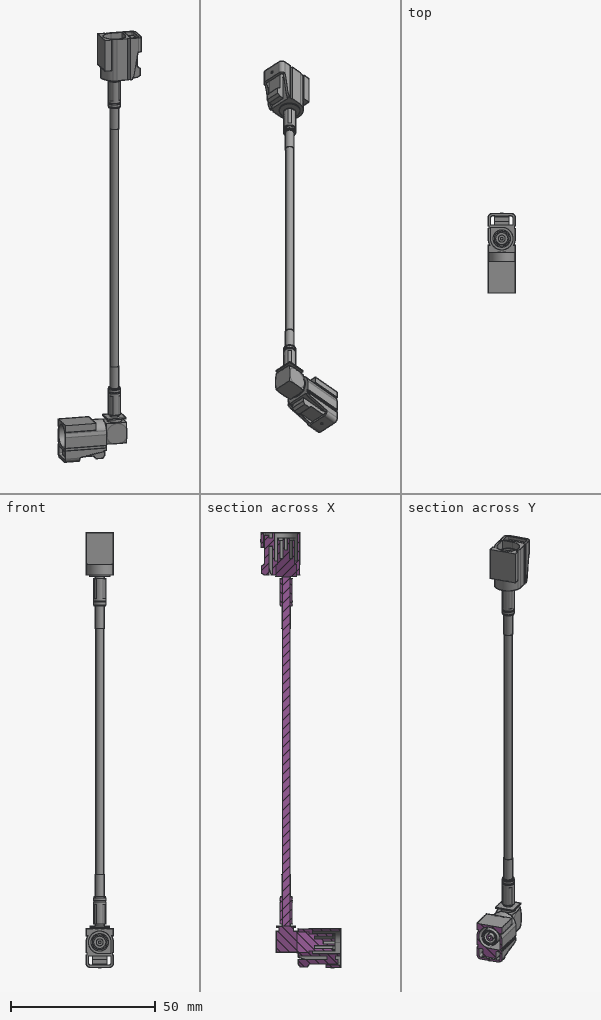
import cadquery as cq
import math

OVERALL_HEIGHT = 150.4
OVERALL_DEPTH = 27.7
HOOD_TOP = 8.7
HOOD_NUB_HEIGHT = 0.08
MATING_REACH = OVERALL_DEPTH - HOOD_TOP - HOOD_NUB_HEIGHT
MATING_LEVEL = OVERALL_HEIGHT - HOOD_TOP - HOOD_NUB_HEIGHT

HOUSING_WIDTH = 9.5
HALF_WIDTH = HOUSING_WIDTH / 2
HOUSING_LENGTH = 14.7
KEY_PLATE_LENGTH = 11.0
KEY_PLATE_TOP = -2.3
FLANK_TOP = -0.5
FLANK_BOTTOM = -1.8
CAVITY_RADIUS = 3.9
CAVITY_DEPTH = 9.8
CAVITY_FLOOR_THICKNESS = 1.2
FLANGE_FACE = -CAVITY_DEPTH - CAVITY_FLOOR_THICKNESS
GROOVE_BOTTOM = 3.5
GROOVE_WIDTH = 0.9
GROOVE_DEPTH = 0.3

WALL = 0.9
HOOD_LENGTH = 5.1
HOOD_CORNER_RADIUS = 1.5
HOOD_NUB_RADIUS = 0.5
HOOD_NUB_DEPTH = 2.9
WING_TOP = HOOD_TOP - HOOD_CORNER_RADIUS
WING_MIDDLE_HEIGHT = 6.6
WING_MIDDLE_DEPTH = 7.8
WING_REAR_HEIGHT = 5.7
WING_REAR_DEPTH = 13.2
WING_END_HEIGHT = 5.1
LATCH_WIDTH = 5.1
LATCH_TOP = 7.5
LATCH_HEAD_TOP = 8.5
LATCH_THICKNESS = 1.7
LATCH_START = 0.9
LATCH_ROOT_START = 1.8
LATCH_ROOT_LENGTH = 3.0
LATCH_HEAD_START = 10.8
LATCH_HEAD_CHAMFER = 0.8

FLANGE_RADIUS = 3.6
TUBE_RADIUS = 3.0
TUBE_ENTRY_RADIUS = 2.5
TUBE_ENTRY_DEPTH = 0.8
TUBE_BORE_RADIUS = 2.1
PIN_RADIUS = 1.2
PIN_HOLE_RADIUS = 0.5
TIP_DEPTH = 2.0
PIN_HOLE_FLOOR = 6.0
TUBE_BORE_FLOOR = 9.0
STRAIGHT_FLANGE_STANDOFF = 0.5

ELBOW_HALF = 3.5
ELBOW_FRONT = 3.8
ELBOW_TOP = 3.9
ELBOW_FACE_RADIUS = 3.8
ELBOW_TURNED_DEPTH = 0.5
ELBOW_CORNER_RADIUS = 5.5
ELBOW_NECK_RADIUS = 2.5
PLATE_BOTTOM = 5.1
PLATE_TOP = 5.5
PLATE_HALF = 3.3

CABLE_RADIUS = 1.43
SLEEVE_RADIUS = 3.2 / 2
SLEEVE_LENGTH = 7.7
FERRULE_NECK_LENGTH = 0.8
FERRULE_CRIMP_LENGTH = 6.8
FERRULE_CRIMP_RADIUS = 4.4 / 2
FERRULE_FLAT_DISTANCE = 2.1
FERRULE_RING_RADIUS = FERRULE_CRIMP_RADIUS
FERRULE_RING_GROOVE_RADIUS = 4.0 / 2
FERRULE_RING_LENGTH = 0.9
FERRULE_GROOVE_LENGTH = 0.5
FERRULE_RING_COUNT = 2
FERRULE_COLLAR_LENGTH = FERRULE_RING_COUNT * (FERRULE_RING_LENGTH + FERRULE_GROOVE_LENGTH)
FERRULE_LENGTH = FERRULE_NECK_LENGTH + FERRULE_CRIMP_LENGTH + FERRULE_COLLAR_LENGTH


def cylinder(radius, bottom, top):
    return cq.Workplane("XY").workplane(offset=bottom).circle(radius).extrude(top - bottom)


def block(width, y_low, y_high, z_low, z_high):
    """Box centred on X = 0 between the given Y and Z limits."""
    return (
        cq.Workplane("XY")
        .box(width, y_high - y_low, z_high - z_low, centered=(True, False, False))
        .translate((0, y_low, z_low))
    )


def housing_shell():
    """Barrel with a square top half, plus the key plate under its front part."""
    round_half_width = math.sqrt(HALF_WIDTH**2 - FLANK_BOTTOM**2)
    barrel = (
        cq.Workplane("XY")
        .moveTo(-HALF_WIDTH, HALF_WIDTH)
        .lineTo(-HALF_WIDTH, FLANK_TOP)
        .lineTo(-round_half_width, FLANK_BOTTOM)
        .threePointArc((0, -HALF_WIDTH), (round_half_width, FLANK_BOTTOM))
        .lineTo(HALF_WIDTH, FLANK_TOP)
        .lineTo(HALF_WIDTH, HALF_WIDTH)
        .close()
        .extrude(-HOUSING_LENGTH)
    )
    key_plate = block(HOUSING_WIDTH, -HALF_WIDTH, KEY_PLATE_TOP, -KEY_PLATE_LENGTH, 0)
    return barrel.union(key_plate)


def wings_and_hood():
    """Side wings along the housing, joined over the mating end by the hood."""
    arch = block(HOUSING_WIDTH, 0, HOOD_TOP, -HOUSING_LENGTH, 0)
    arch = arch.edges("|Z and >Y").fillet(HOOD_CORNER_RADIUS)
    side = (
        cq.Workplane("YZ")
        .moveTo(0, 0)
        .lineTo(HOOD_TOP, 0)
        .lineTo(HOOD_TOP, -HOOD_LENGTH)
        .lineTo(WING_TOP, -HOOD_LENGTH)
        .lineTo(WING_MIDDLE_HEIGHT, -WING_MIDDLE_DEPTH)
        .lineTo(WING_REAR_HEIGHT, -WING_REAR_DEPTH)
        .lineTo(WING_END_HEIGHT, -HOUSING_LENGTH)
        .lineTo(0, -HOUSING_LENGTH)
        .close()
        .extrude(HALF_WIDTH, both=True)
    )
    inside = block(HOUSING_WIDTH - 2 * WALL, 0, HOOD_TOP - WALL, -HOUSING_LENGTH, 0)
    inside = inside.edges("|Z and >Y").fillet(HOOD_CORNER_RADIUS - WALL)
    nub = (
        cq.Workplane("XZ")
        .center(0, -HOOD_NUB_DEPTH)
        .circle(HOOD_NUB_RADIUS)
        .extrude(-(WALL + HOOD_NUB_HEIGHT))
        .translate((0, HOOD_TOP - WALL, 0))
    )
    return arch.intersect(side).cut(inside).union(nub)


def latch():
    """Lever rooted on the housing near the mating end, with a raised head at its free end."""
    underside = LATCH_TOP - LATCH_THICKNESS
    lever = (
        cq.Workplane("YZ")
        .moveTo(underside, -LATCH_START)
        .lineTo(LATCH_TOP, -LATCH_START)
        .lineTo(LATCH_TOP, -LATCH_HEAD_START)
        .lineTo(LATCH_HEAD_TOP, -LATCH_HEAD_START - LATCH_HEAD_CHAMFER)
        .lineTo(LATCH_HEAD_TOP, -HOUSING_LENGTH + LATCH_HEAD_CHAMFER)
        .lineTo(LATCH_TOP, -HOUSING_LENGTH)
        .lineTo(underside, -HOUSING_LENGTH)
        .close()
        .extrude(LATCH_WIDTH / 2, both=True)
    )
    root_end = LATCH_ROOT_START + LATCH_ROOT_LENGTH
    root = block(LATCH_WIDTH, CAVITY_RADIUS, underside, -root_end, -LATCH_ROOT_START)
    return lever.union(root)


def housing_cavity():
    """Round mating cavity with one square key corner, and the stepped bore for the contact behind it."""
    cavity = cylinder(CAVITY_RADIUS, -CAVITY_DEPTH, 0)
    key_corner = (
        cq.Workplane("XY")
        .rect(-CAVITY_RADIUS, CAVITY_RADIUS, centered=False)
        .extrude(-CAVITY_DEPTH)
    )
    tube_bore = cylinder(TUBE_RADIUS, FLANGE_FACE, -CAVITY_DEPTH)
    flange_bore = cylinder(FLANGE_RADIUS, -HOUSING_LENGTH, FLANGE_FACE)
    return cavity.union(key_corner).union(tube_bore).union(flange_bore)


def side_grooves():
    """Shallow grooves along both sides, cut by a full-width slab with its middle removed."""
    slab = block(HOUSING_WIDTH, GROOVE_BOTTOM, GROOVE_BOTTOM + GROOVE_WIDTH, -HOUSING_LENGTH, 0)
    core = block(HOUSING_WIDTH - 2 * GROOVE_DEPTH, 0, HOOD_TOP, -HOUSING_LENGTH, 0)
    return slab.cut(core)


def make_housing():
    shell = housing_shell().union(wings_and_hood()).union(latch())
    return shell.cut(side_grooves()).cut(housing_cavity())


def make_contact(standoff):
    """Tube around a hollow pin, on a flange that stands out of the back of the housing."""
    flange = cylinder(FLANGE_RADIUS, -HOUSING_LENGTH - standoff, FLANGE_FACE)
    tube = cylinder(TUBE_RADIUS, FLANGE_FACE, -TIP_DEPTH)
    bore = cylinder(TUBE_BORE_RADIUS, -TUBE_BORE_FLOOR, -TIP_DEPTH)
    entry = cylinder(TUBE_ENTRY_RADIUS, -TIP_DEPTH - TUBE_ENTRY_DEPTH, -TIP_DEPTH)
    pin = cylinder(PIN_RADIUS, -TUBE_BORE_FLOOR, -TIP_DEPTH)
    pin_hole = cylinder(PIN_HOLE_RADIUS, -PIN_HOLE_FLOOR, -TIP_DEPTH)
    return flange.union(tube).cut(bore).cut(entry).union(pin).cut(pin_hole)


def place_straight(body):
    return body.translate((0, 0, MATING_LEVEL))


def place_angled(body):
    """Turn the mating side to -Y and the hood to -Z."""
    turned = body.rotate((0, 0, 0), (0, 0, 1), 180).rotate((0, 0, 0), (1, 0, 0), 90)
    return turned.translate((0, -MATING_REACH, 0))


def make_elbow():
    body = block(2 * ELBOW_HALF, -ELBOW_FRONT, ELBOW_HALF, -ELBOW_HALF, ELBOW_TOP)
    turned = (
        cq.Workplane("YZ")
        .circle(ELBOW_CORNER_RADIUS)
        .extrude(ELBOW_HALF, both=True)
        .faces("<X or >X")
        .chamfer(ELBOW_TURNED_DEPTH, ELBOW_CORNER_RADIUS - ELBOW_FACE_RADIUS)
    )
    body = body.intersect(turned)
    neck = cylinder(ELBOW_NECK_RADIUS, 0, PLATE_BOTTOM)
    plate = block(2 * PLATE_HALF, -PLATE_HALF, PLATE_HALF, PLATE_BOTTOM, PLATE_TOP)
    return body.union(neck).union(plate)


def make_ferrule():
    """Ferrule standing on z = 0: round neck, crimp with four flats, then a collar of rings."""
    crimp_top = FERRULE_NECK_LENGTH + FERRULE_CRIMP_LENGTH
    ferrule = cylinder(SLEEVE_RADIUS, 0, FERRULE_NECK_LENGTH)
    square = block(2 * FERRULE_FLAT_DISTANCE, -FERRULE_FLAT_DISTANCE, FERRULE_FLAT_DISTANCE,
                   FERRULE_NECK_LENGTH, crimp_top)
    crimp = cylinder(FERRULE_CRIMP_RADIUS, FERRULE_NECK_LENGTH, crimp_top)
    crimp = crimp.intersect(square.rotate((0, 0, 0), (0, 0, 1), 45))
    ferrule = ferrule.union(crimp).union(cylinder(FERRULE_RING_GROOVE_RADIUS, crimp_top, FERRULE_LENGTH))
    for index in range(FERRULE_RING_COUNT):
        ring_bottom = crimp_top + index * (FERRULE_RING_LENGTH + FERRULE_GROOVE_LENGTH)
        ferrule = ferrule.union(cylinder(FERRULE_RING_RADIUS, ring_bottom, ring_bottom + FERRULE_RING_LENGTH))
    return ferrule.cut(cylinder(CABLE_RADIUS, 0, FERRULE_LENGTH))


def make_sleeve():
    """Sleeve over the cable, continuing from the end of a ferrule that stands on z = 0."""
    top = FERRULE_LENGTH + SLEEVE_LENGTH
    return cylinder(SLEEVE_RADIUS, FERRULE_LENGTH, top).cut(cylinder(CABLE_RADIUS, FERRULE_LENGTH, top))


cable_bottom = PLATE_TOP
cable_top = MATING_LEVEL - HOUSING_LENGTH - STRAIGHT_FLANGE_STANDOFF
angled_standoff = MATING_REACH - HOUSING_LENGTH - ELBOW_FRONT

cable = cylinder(CABLE_RADIUS, cable_bottom, cable_top)
elbow = make_elbow()
straight_contact = place_straight(make_contact(STRAIGHT_FLANGE_STANDOFF))
angled_contact = place_angled(make_contact(angled_standoff))

bodies = [cable.val(), elbow.val(), straight_contact.val(), angled_contact.val()]
for place in (place_straight, place_angled):
    bodies.append(place(make_housing()).val())
for make_part in (make_ferrule, make_sleeve):
    bodies.append(make_part().translate((0, 0, cable_bottom)).val())
    bodies.append(make_part().rotate((0, 0, 0), (1, 0, 0), 180).translate((0, 0, cable_top)).val())

result = cq.Compound.makeCompound(bodies)